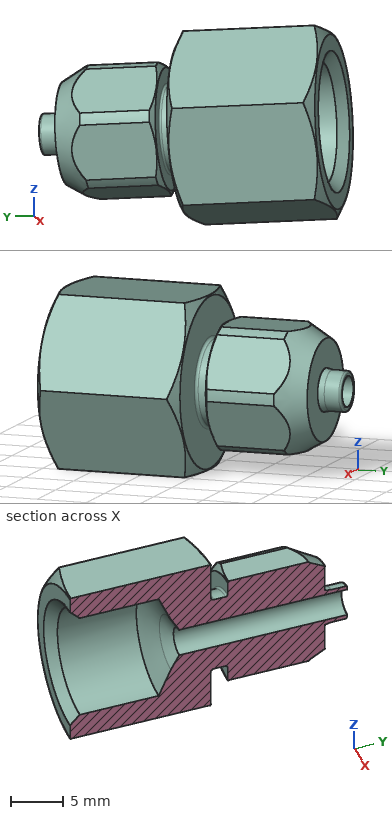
import cadquery as cq
import math

TAN_30 = math.tan(math.radians(30))

TOTAL_LENGTH = 28.5
BODY_LENGTH = 14.5
NUT_START = 16.2
NUT_LENGTH = 10.03
NUT_END = NUT_START + NUT_LENGTH

BODY_FLATS = 17.0
BODY_FACE_DIAMETER = 16.75

NUT_FLATS = 12.0
NUT_TURNED_DIAMETER = 13.22
NUT_REAR_DIAMETER = 11.8
NUT_FRONT_DIAMETER = 10.0

NECK_DIAMETER = 8.4
NECK_BODY_FILLET = 0.28
NECK_NUT_FILLET = 0.2

SPIGOT_DIAMETER = 4.0
SPIGOT_BASE_DIAMETER = 4.25
SPIGOT_FLARE_LENGTH = 0.6
SPIGOT_TIP_FILLET = 0.2

SOCKET_DIAMETER = 11.6
SOCKET_MOUTH_DIAMETER = 13.62
SOCKET_DEPTH = 9.12
SEAT_DIAMETER = 6.0
SEAT_SLOPE = math.tan(math.radians(24))
PASSAGE_DIAMETER = 3.0
BORE_OVERRUN = 0.28


def turned(points):
    """Revolve a (radius, y) outline, closed along the axis, about Y."""
    outline = [(0, points[0][1])] + points + [(0, points[-1][1])]
    return cq.Workplane("XY").polyline(outline).close().revolve(360, (0, 0), (0, 1))


def hexagon(across_flats, start, length):
    """Hexagonal bar along +Y with corners on the X axis."""
    across_corners = across_flats / math.cos(math.radians(30))
    plane = cq.Workplane("XZ", origin=(0, start, 0))
    return plane.polygon(6, across_corners).extrude(-length)


def make_body():
    face_radius = BODY_FACE_DIAMETER / 2
    corner_radius = BODY_FLATS / 2 / math.cos(math.radians(30))
    chamfer = (corner_radius - face_radius) * TAN_30
    envelope = turned([
        (face_radius, 0),
        (corner_radius, chamfer),
        (corner_radius, BODY_LENGTH - chamfer),
        (face_radius, BODY_LENGTH),
    ])
    return hexagon(BODY_FLATS, 0, BODY_LENGTH).intersect(envelope)


def make_nut():
    turned_radius = NUT_TURNED_DIAMETER / 2
    rear_radius = NUT_REAR_DIAMETER / 2
    front_radius = NUT_FRONT_DIAMETER / 2
    rear_chamfer = (turned_radius - rear_radius) * TAN_30
    front_taper = (turned_radius - front_radius) / TAN_30
    envelope = turned([
        (rear_radius, NUT_START),
        (turned_radius, NUT_START + rear_chamfer),
        (turned_radius, NUT_END - front_taper),
        (front_radius, NUT_END),
    ])
    return hexagon(NUT_FLATS, NUT_START, NUT_LENGTH).intersect(envelope)


def make_neck():
    radius = NECK_DIAMETER / 2
    bend = math.sqrt(0.5)
    body_inset = NECK_BODY_FILLET * (1 - bend)
    nut_inset = NECK_NUT_FILLET * (1 - bend)
    return (
        cq.Workplane("XY")
        .moveTo(0, BODY_LENGTH)
        .lineTo(radius + NECK_BODY_FILLET, BODY_LENGTH)
        .threePointArc(
            (radius + body_inset, BODY_LENGTH + body_inset),
            (radius, BODY_LENGTH + NECK_BODY_FILLET),
        )
        .lineTo(radius, NUT_START - NECK_NUT_FILLET)
        .threePointArc(
            (radius + nut_inset, NUT_START - nut_inset),
            (radius + NECK_NUT_FILLET, NUT_START),
        )
        .lineTo(0, NUT_START)
        .close()
        .revolve(360, (0, 0), (0, 1))
    )


def make_spigot():
    radius = SPIGOT_DIAMETER / 2
    spigot = turned([
        (SPIGOT_BASE_DIAMETER / 2, NUT_END),
        (radius, NUT_END + SPIGOT_FLARE_LENGTH),
        (radius, TOTAL_LENGTH),
    ])
    return spigot.faces(">Y").edges().fillet(SPIGOT_TIP_FILLET)


def make_bore():
    mouth_radius = SOCKET_MOUTH_DIAMETER / 2
    socket_radius = SOCKET_DIAMETER / 2
    seat_radius = SEAT_DIAMETER / 2
    passage_radius = PASSAGE_DIAMETER / 2
    mouth_depth = mouth_radius - socket_radius
    seat_start = SOCKET_DEPTH + (socket_radius - seat_radius) * SEAT_SLOPE
    passage_start = seat_start + (seat_radius - passage_radius) * TAN_30
    return turned([
        (mouth_radius, 0),
        (socket_radius, mouth_depth),
        (socket_radius, SOCKET_DEPTH),
        (seat_radius, seat_start),
        (passage_radius, passage_start),
        (passage_radius, TOTAL_LENGTH + BORE_OVERRUN),
    ])


fitting = make_body().union(make_neck()).union(make_nut()).union(make_spigot())
result = fitting.cut(make_bore())